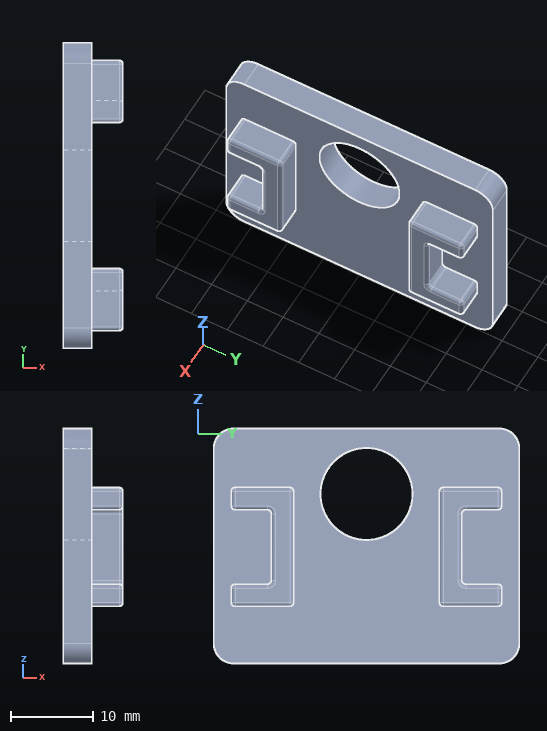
import cadquery as cq

plate_width = 37.3
plate_height = 28.7
plate_thickness = 3.5
plate_corner_radius = 2.5

opening_diameter = 11.2
opening_center_z = 6.35

overall_depth = 7.3
lug_height = 14.5
lug_width = 7.6
lug_wall = 2.72
lug_side_margin = 2.15
lug_center_z = -0.1
lug_edge_radius = 0.5

lug_length = overall_depth - plate_thickness
lug_outer_y = plate_width / 2 - lug_side_margin
lug_inner_y = lug_outer_y - lug_width


def make_plate():
    plate = (
        cq.Workplane("YZ")
        .rect(plate_width, plate_height)
        .extrude(plate_thickness)
        .edges("|X")
        .fillet(plate_corner_radius)
    )
    opening = (
        cq.Workplane("YZ")
        .center(0, opening_center_z)
        .circle(opening_diameter / 2)
        .extrude(plate_thickness)
    )
    return plate.cut(opening)


def make_lug():
    """C-shaped lug on the +Y side: a web at the inner end joining two legs."""
    block = (
        cq.Workplane("YZ", origin=(plate_thickness, 0, lug_center_z))
        .center((lug_inner_y + lug_outer_y) / 2, 0)
        .rect(lug_width, lug_height)
        .extrude(lug_length)
    )
    gap = (
        cq.Workplane("YZ", origin=(plate_thickness, 0, lug_center_z))
        .center(lug_inner_y + lug_wall + lug_width / 2, 0)
        .rect(lug_width, lug_height - 2 * lug_wall)
        .extrude(lug_length)
    )
    lug = block.cut(gap).edges("|X").fillet(lug_edge_radius)
    return lug.faces(">X").edges().fillet(lug_edge_radius)


lug = make_lug()
result = make_plate().union(lug).union(lug.mirror("XZ"))